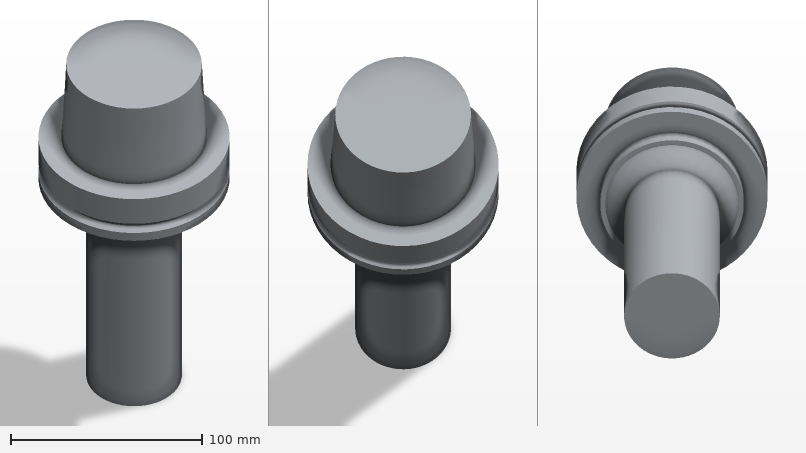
import cadquery as cq

total_height = 215.0
taper_height = 50.0
seat_height = 2.0
flange_height = 28.8
collar_height = 8.4
shank_height = 118.0

flange_diameter = 100.0
groove_diameter = 92.0
seat_diameter = 76.0
collar_diameter = 75.0
taper_top_diameter = 71.0
shank_diameter = 50.0

groove_start = 17.0
groove_end = 23.5
groove_upper_slope = 1.0
groove_lower_slope = 1.7


flange_top = total_height - taper_height
flange_bottom = flange_top - flange_height
collar_bottom = flange_bottom - collar_height


cone_top_radius = shank_diameter / 2 + collar_bottom - shank_height

half_section = [
    (0, 0),
    (shank_diameter / 2, 0),
    (shank_diameter / 2, shank_height),
    (cone_top_radius, collar_bottom),
    (collar_diameter / 2, collar_bottom),
    (collar_diameter / 2, flange_bottom),
    (flange_diameter / 2, flange_bottom),
    (flange_diameter / 2, flange_top - groove_end),
    (groove_diameter / 2, flange_top - groove_end + groove_lower_slope),
    (groove_diameter / 2, flange_top - groove_start - groove_upper_slope),
    (flange_diameter / 2, flange_top - groove_start),
    (flange_diameter / 2, flange_top),
    (seat_diameter / 2, flange_top),
    (seat_diameter / 2, flange_top + seat_height),
    (taper_top_diameter / 2, total_height),
    (0, total_height),
]

result = cq.Workplane("YZ").polyline(half_section).close().revolve(360, (0, 0, 0), (0, 1, 0))